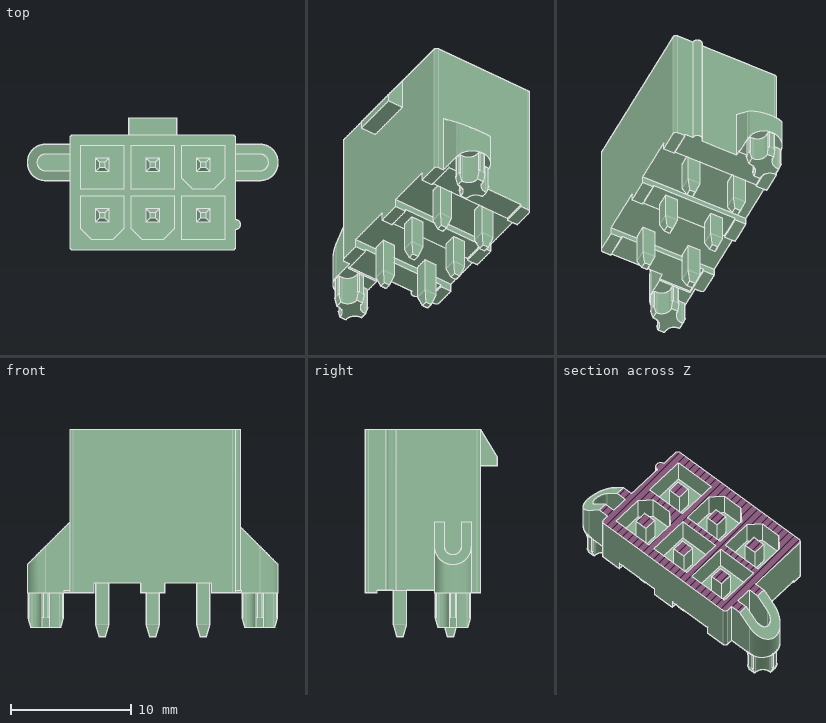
import cadquery as cq
import math

TOTAL_LENGTH = 20.86
TOTAL_HEIGHT = 17.26

BODY_LENGTH = 13.8
BODY_WIDTH = 9.6
BODY_HEIGHT = 13.6
CORNER_RADIUS = 0.28

PITCH = 4.2
COLUMNS = 3
ROWS = 2
CAVITY_SIZE = 3.6
CAVITY_CHAMFER = 0.9
CAVITY_FLOOR = 2.6
KEYED_CAVITIES = [(2, 1), (0, 0), (1, 0)]
PIN_SIZE = 1.12
PIN_SHIFT_Y = 0.2
PIN_TOP = 8.6
PIN_BOTTOM = BODY_HEIGHT - TOTAL_HEIGHT
PIN_TAPER = 1.04
PIN_UPPER_TIP = 0.46
PIN_LOWER_TIP = 0.53

RECESS_LENGTH = 14.8
RECESS_WIDTH = 7.6
RECESS_DEPTH = 0.2
CHANNEL_INNER_X = 1.0
CHANNEL_OUTER_X = 4.88
CHANNEL_DEPTH = 0.8

EAR_RADIUS = 1.53
EAR_X = TOTAL_LENGTH / 2 - EAR_RADIUS
EAR_Y = 2.5
EAR_TIP_HEIGHT = 2.35
EAR_SLOPE = math.radians(45)
EAR_SLOT_RADIUS = 0.71
EAR_SLOT_FLOOR = 1.0

PEG_RADIUS = 1.48
PEG_LENGTH = 2.9
PEG_TAPER_LENGTH = 0.83
PEG_END_RADIUS = 1.245
RIB_HALF_WIDTH = 0.3
RIB_BEVEL = 0.1
FLUTE_START = 1.16

LATCH_WIDTH = 4.0
LATCH_REACH = 1.4
LATCH_RAMP_HEIGHT = 2.3
LATCH_HEIGHT = 3.04

KEY_RIB_Y = -2.66
KEY_RIB_REACH = 0.4
KEY_RIB_RADIUS = 0.42

OVERLAP = 0.2


def box(length, width, bottom, top, x=0.0, y=0.0):
    """Box centred on (x, y) between two heights."""
    plane = cq.Workplane("XY", origin=(x, y, bottom))
    return plane.rect(length, width).extrude(top - bottom)


def frustum(start_size, end_size, start_z, end_z):
    """Square block on the Z axis that changes size from start to end."""
    start = cq.Workplane("XY", origin=(0, 0, start_z)).rect(start_size, start_size)
    return start.workplane(offset=end_z - start_z).rect(end_size, end_size).loft(combine=True)


def contact_cells():
    """Column, row and cavity centre of each contact."""
    for column in range(COLUMNS):
        for row in range(ROWS):
            x = (column - (COLUMNS - 1) / 2) * PITCH
            y = (row - (ROWS - 1) / 2) * PITCH
            yield column, row, x, y


def cavity(keyed):
    """Square cavity, with its two -Y corners cut off when keyed."""
    shape = box(CAVITY_SIZE, CAVITY_SIZE, CAVITY_FLOOR, BODY_HEIGHT)
    if keyed:
        shape = shape.faces("<Y").edges("|Z").chamfer(CAVITY_CHAMFER)
    return shape


def pin():
    """Square pin tapered at both ends."""
    upper_shoulder = PIN_TOP - PIN_TAPER
    lower_shoulder = PIN_BOTTOM + PIN_TAPER
    shank = box(PIN_SIZE, PIN_SIZE, lower_shoulder, upper_shoulder)
    upper_tip = frustum(PIN_SIZE, PIN_UPPER_TIP, upper_shoulder, PIN_TOP)
    lower_tip = frustum(PIN_SIZE, PIN_LOWER_TIP, lower_shoulder, PIN_BOTTOM)
    return shank.union(upper_tip).union(lower_tip)


def round_ended_bar(start_x, radius, bottom, top):
    """Bar along +X from start_x, with a round end centred on the ear axis."""
    bar = box(EAR_X - start_x, 2 * radius, bottom, top, (start_x + EAR_X) / 2, EAR_Y)
    end = cq.Workplane("XY", origin=(EAR_X, EAR_Y, bottom)).circle(radius).extrude(top - bottom)
    return bar.union(end)


def ear():
    """The +X mounting ear: slotted, round-ended and cut off on a slope."""
    wall_x = BODY_LENGTH / 2
    inner_x = wall_x - OVERLAP
    outer_x = TOTAL_LENGTH / 2
    inner_height = EAR_TIP_HEIGHT + (outer_x - inner_x) * math.tan(EAR_SLOPE)
    profile = [(inner_x, 0), (outer_x, 0), (outer_x, EAR_TIP_HEIGHT), (inner_x, inner_height)]
    side = cq.Workplane("XZ", origin=(0, EAR_Y, 0)).polyline(profile).close()
    sloped_block = side.extrude(EAR_RADIUS, both=True)
    outline = round_ended_bar(inner_x, EAR_RADIUS, 0, inner_height)
    slot = round_ended_bar(wall_x, EAR_SLOT_RADIUS, EAR_SLOT_FLOOR, inner_height)
    return outline.intersect(sloped_block).cut(slot)


def quarter_turned(point, quarters):
    """The point turned about the Z axis by a number of quarter turns."""
    x, y = point
    for _ in range(quarters):
        x, y = -y, x
    return x, y


def peg_section(bevel):
    """Cross outline of the peg: four ribs with bevelled tips, joined by round flutes."""
    tip_half_width = RIB_HALF_WIDTH - bevel
    flute_radius = FLUTE_START - RIB_HALF_WIDTH
    flute_middle = FLUTE_START - flute_radius * math.sqrt(0.5)
    rib_corner = (PEG_RADIUS - bevel, RIB_HALF_WIDTH)
    next_rib_corner = (RIB_HALF_WIDTH, PEG_RADIUS - bevel)
    rib_side = [(PEG_RADIUS, tip_half_width), (FLUTE_START, RIB_HALF_WIDTH)]
    next_rib_start = [(tip_half_width, PEG_RADIUS)]
    if bevel > 0:
        rib_side.insert(1, rib_corner)
        next_rib_start.insert(0, next_rib_corner)
    outline = cq.Workplane("XY").moveTo(PEG_RADIUS, -tip_half_width)
    for quarter in range(4):
        for point in rib_side:
            outline = outline.lineTo(*quarter_turned(point, quarter))
        outline = outline.threePointArc(
            quarter_turned((flute_middle, flute_middle), quarter),
            quarter_turned((RIB_HALF_WIDTH, FLUTE_START), quarter),
        )
        for point in next_rib_start:
            outline = outline.lineTo(*quarter_turned(point, quarter))
    return outline.wire()


def peg():
    """The +X board peg: bevelled ribs above, full-width tapered ribs at the end."""
    shoulder = PEG_TAPER_LENGTH - PEG_LENGTH
    shank = peg_section(RIB_BEVEL).extrude(OVERLAP - shoulder).translate((0, 0, shoulder))
    tip = peg_section(0).extrude(PEG_TAPER_LENGTH).translate((0, 0, -PEG_LENGTH))
    tip = tip.intersect(frustum(2 * PEG_RADIUS, 2 * PEG_END_RADIUS, shoulder, -PEG_LENGTH))
    return shank.union(tip).translate((EAR_X, EAR_Y, 0))


def latch():
    """Ramp on the +Y wall with a flat catch underneath."""
    wall_y = BODY_WIDTH / 2
    tip_y = wall_y + LATCH_REACH
    catch_z = BODY_HEIGHT - LATCH_HEIGHT
    profile = [
        (wall_y - OVERLAP, BODY_HEIGHT),
        (wall_y, BODY_HEIGHT),
        (tip_y, BODY_HEIGHT - LATCH_RAMP_HEIGHT),
        (tip_y, catch_z),
        (wall_y - OVERLAP, catch_z),
    ]
    return cq.Workplane("YZ").polyline(profile).close().extrude(LATCH_WIDTH / 2, both=True)


def key_rib():
    """Full-height round rib standing out of the +X wall."""
    axis_x = BODY_LENGTH / 2 + KEY_RIB_REACH - KEY_RIB_RADIUS
    return cq.Workplane("XY", origin=(axis_x, KEY_RIB_Y, 0)).circle(KEY_RIB_RADIUS).extrude(BODY_HEIGHT)


def housing():
    """Body with ears, latch and key rib, hollowed by the cavities and recesses."""
    body = box(BODY_LENGTH, BODY_WIDTH, 0, BODY_HEIGHT).edges("|Z").fillet(CORNER_RADIUS)
    body = body.union(latch()).union(key_rib())
    body = body.union(ear()).union(ear().mirror("YZ"))
    body = body.cut(box(RECESS_LENGTH, RECESS_WIDTH, 0, RECESS_DEPTH))
    channel_x = (CHANNEL_INNER_X + CHANNEL_OUTER_X) / 2
    for side in (-1, 1):
        channel_length = CHANNEL_OUTER_X - CHANNEL_INNER_X
        body = body.cut(box(channel_length, BODY_WIDTH, 0, CHANNEL_DEPTH, side * channel_x))
    for column, row, x, y in contact_cells():
        keyed = (column, row) in KEYED_CAVITIES
        body = body.cut(cavity(keyed).translate((x, y, 0)))
    return body


result = housing().union(peg()).union(peg().mirror("YZ"))
for _, _, cell_x, cell_y in contact_cells():
    result = result.union(pin().translate((cell_x, cell_y + PIN_SHIFT_Y, 0)))